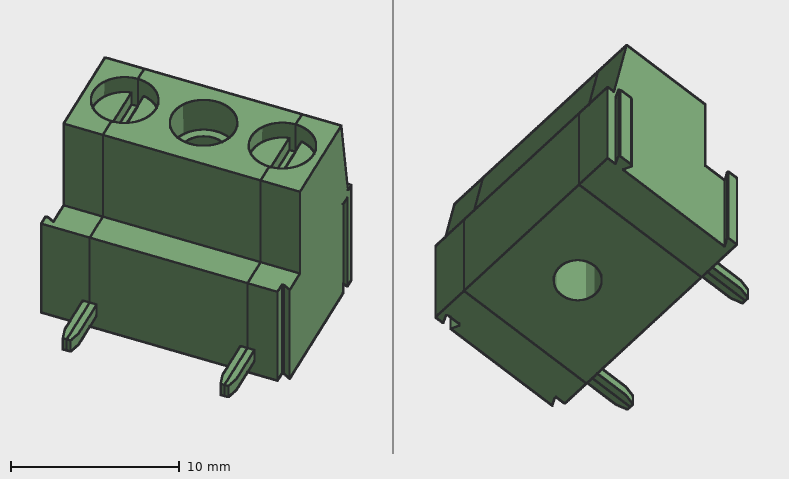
import cadquery as cq


pole_pitch = 5.08
row_length = 15.24
middle_x = row_length / 2
split_left = middle_x - pole_pitch
split_right = middle_x + pole_pitch

housing_depth = 9.8
housing_height = 13.8
front_step_depth = 2.0
front_step_height = 7.19
back_ledge_depth = 0.5
back_ledge_height = 7.7
top_setback = 1.52

hole_y = 5.3
hole_diameter = 4.0
screw_recess_depth = 1.2
middle_recess_depth = 2.4
through_diameter = 2.85
slot_width = 0.79
slot_depth = 1.0

pin_width = 0.9
pin_length = 3.5
pin_bottom = 1.05
pin_tip_width = 0.5
pin_taper_length = 0.76

joint_reach = 0.6
hook_tip_y = 0.7
hook_root_y = 0.45
hook_flat = 0.13
dovetail_back_offset = 0.92
dovetail_y = housing_depth - dovetail_back_offset
dovetail_width = 1.08
dovetail_root_width = 0.59
dovetail_face_width = 0.84
dovetail_bevel = 0.06


def make_profile():
    """Stepped housing profile, extruded along the row of poles."""
    outline = [
        (0, 0),
        (housing_depth, 0),
        (housing_depth, back_ledge_height),
        (housing_depth - back_ledge_depth, back_ledge_height),
        (housing_depth - top_setback, housing_height),
        (front_step_depth, housing_height),
        (front_step_depth, front_step_height),
        (0, front_step_height),
    ]
    return cq.Workplane("YZ").polyline(outline).close().extrude(row_length)


def make_hook(wall_x):
    """Hook that reaches out to the left of wall_x, or the cutter for its matching socket."""
    outline = [
        (wall_x, 0),
        (wall_x, hook_root_y),
        (wall_x - joint_reach + hook_flat, hook_tip_y),
        (wall_x - joint_reach, hook_tip_y),
        (wall_x - joint_reach, 0),
    ]
    return cq.Workplane("XY").polyline(outline).close().extrude(front_step_height)


def make_dovetail(root_x):
    """Dovetail with beveled outer edges to the left of root_x, or the cutter for its socket."""
    face_x = root_x - joint_reach
    outline = [
        (root_x, dovetail_y - dovetail_root_width / 2),
        (face_x + dovetail_bevel, dovetail_y - dovetail_width / 2),
        (face_x, dovetail_y - dovetail_face_width / 2),
        (face_x, dovetail_y + dovetail_face_width / 2),
        (face_x + dovetail_bevel, dovetail_y + dovetail_width / 2),
        (root_x, dovetail_y + dovetail_root_width / 2),
    ]
    return cq.Workplane("XY").polyline(outline).close().extrude(front_step_height)


def make_round_cutter(x, diameter, depth):
    """Cylinder reaching down from the top face."""
    return (
        cq.Workplane("XY", origin=(x, hole_y, housing_height))
        .circle(diameter / 2)
        .extrude(-depth)
    )


def make_screw_cutter(x):
    """Round recess above a screw head with a driver slot across its floor."""
    recess = make_round_cutter(x, hole_diameter, screw_recess_depth)
    slot_bottom = screw_recess_depth + slot_depth
    slot_band = (
        cq.Workplane("XY", origin=(x, hole_y, housing_height))
        .rect(slot_width, hole_diameter)
        .extrude(-slot_bottom)
    )
    slot = make_round_cutter(x, hole_diameter, slot_bottom).intersect(slot_band)
    return recess.union(slot)


def make_pin(x):
    """Square contact pin with a tapered tip, standing out of the front face."""
    outline = [
        (x - pin_width / 2, 0),
        (x - pin_width / 2, pin_taper_length - pin_length),
        (x - pin_tip_width / 2, -pin_length),
        (x + pin_tip_width / 2, -pin_length),
        (x + pin_width / 2, pin_taper_length - pin_length),
        (x + pin_width / 2, 0),
    ]
    return (
        cq.Workplane("XY", origin=(0, 0, pin_bottom))
        .polyline(outline)
        .close()
        .extrude(pin_width)
    )


def make_row():
    """Complete row of poles before it is divided into modules."""
    row = make_profile()
    for joint in (make_hook, make_dovetail):
        row = row.union(joint(0)).cut(joint(row_length))
    for x in (split_left, split_right):
        row = row.cut(make_screw_cutter(x)).union(make_pin(x))
    row = row.cut(make_round_cutter(middle_x, hole_diameter, middle_recess_depth))
    return row.cut(make_round_cutter(middle_x, through_diameter, housing_height))


def make_module(row, start_x, end_x):
    """Part of the row between two planes across it."""
    slab = cq.Workplane("XY", origin=(start_x, -pin_length, 0)).box(
        end_x - start_x, pin_length + housing_depth, housing_height, centered=False
    )
    return row.intersect(slab)


row = make_row()
left_module = make_module(row, -joint_reach, split_left)
middle_module = make_module(row, split_left, split_right)
right_module = make_module(row, split_right, row_length)

result = cq.Compound.makeCompound([left_module.val(), middle_module.val(), right_module.val()])